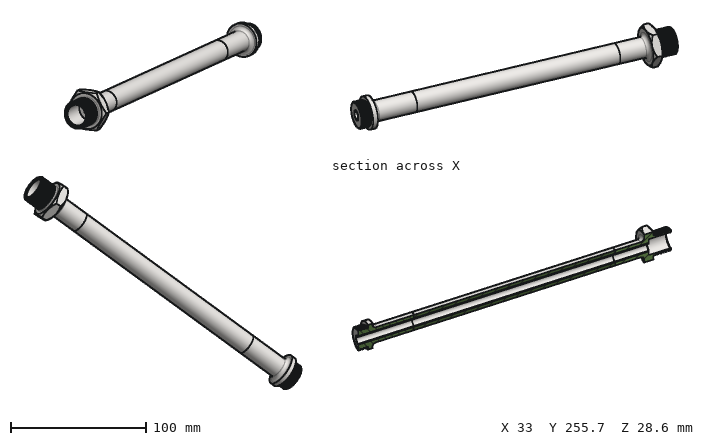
import cadquery as cq
import math

total_length = 255.7
tube_radius = 8.0
liner_radius = 4.0
bore_radius = 3.2

crest_radius = 10.48
root_radius = 9.5
pitch = 2.31
groove_root_width = 0.3
groove_mouth_width = 1.5
first_groove = 2.7
thread_lead_in = 0.8
neck_fillet = 3.0

hex_corner_diameter = 33.0
hex_face_radius = 13.6
hex_face_angle = math.radians(30)
hex_back_chamfer = 2.25
hex_thread_length = 14.25
hex_width = 7.7
hex_groove_count = 5
hex_tail_length = 23.85
hex_base_fillet = 0.6
socket_radius = 7.8
socket_depth = 18.0
socket_chamfer = 0.8

flange_radius = 12.75
flange_width = 3.9
flange_thread_length = 8.1
flange_groove_count = 2
relief_radius = 9.7
relief_width = 1.4
flange_tail_length = 33.9

hex_front = hex_thread_length
hex_back = hex_front + hex_width
hex_tail_end = hex_back + hex_tail_length
flange_back = total_length - flange_thread_length
flange_front = flange_back - flange_width
flange_tail_end = flange_front - flange_tail_length


def revolve_about_y(profile):
    return profile.close().revolve(360, (0, 0, 0), (0, 1, 0))


def disc(y_start, y_end, radius):
    return revolve_about_y(
        cq.Workplane("XY").moveTo(0, y_start).lineTo(radius, y_start).lineTo(radius, y_end).lineTo(0, y_end)
    )


def threaded_stud(end_y, inward, length, groove_count):
    """Ring-grooved stud from its free end at end_y; inward is +1 or -1 along Y."""
    base_y = end_y + inward * length
    stud = revolve_about_y(
        cq.Workplane("XY")
        .moveTo(0, end_y)
        .lineTo(crest_radius - thread_lead_in, end_y)
        .lineTo(crest_radius, end_y + inward * thread_lead_in)
        .lineTo(crest_radius, base_y)
        .lineTo(0, base_y)
    )
    for index in range(groove_count):
        middle = end_y + inward * (first_groove + index * pitch)
        groove = revolve_about_y(
            cq.Workplane("XY")
            .moveTo(root_radius, middle - groove_root_width / 2)
            .lineTo(crest_radius, middle - groove_mouth_width / 2)
            .lineTo(crest_radius, middle + groove_mouth_width / 2)
            .lineTo(root_radius, middle + groove_root_width / 2)
        )
        stud = stud.cut(groove)
    return stud


def flared_tail(shoulder_y, away, length):
    """Tail leaving a shoulder, with a concave flare where it starts; away is +1 or -1 along Y."""
    flare_middle = neck_fillet * (1 - math.sqrt(0.5))
    end_y = shoulder_y + away * length
    return revolve_about_y(
        cq.Workplane("XY")
        .moveTo(0, shoulder_y)
        .lineTo(tube_radius + neck_fillet, shoulder_y)
        .threePointArc(
            (tube_radius + flare_middle, shoulder_y + away * flare_middle),
            (tube_radius, shoulder_y + away * neck_fillet),
        )
        .lineTo(tube_radius, end_y)
        .lineTo(0, end_y)
    )


def chamfered_hexagon():
    flat_radius = hex_corner_diameter / 2 * math.cos(math.pi / 6)
    corner_radius = flat_radius + hex_back_chamfer
    face_chamfer = (corner_radius - hex_face_radius) * math.tan(hex_face_angle)
    prism = (
        cq.Workplane("XZ", origin=(0, hex_front, 0))
        .polygon(6, hex_corner_diameter)
        .extrude(-hex_width)
    )
    envelope = revolve_about_y(
        cq.Workplane("XY")
        .moveTo(0, hex_front)
        .lineTo(hex_face_radius, hex_front)
        .lineTo(corner_radius, hex_front + face_chamfer)
        .lineTo(corner_radius, hex_back - hex_back_chamfer)
        .lineTo(flat_radius, hex_back)
        .lineTo(0, hex_back)
    )
    return prism.intersect(envelope)


def hex_base_flare():
    """Small concave fillet between the hexagon's face and the thread."""
    middle = hex_base_fillet * (1 - math.sqrt(0.5))
    return revolve_about_y(
        cq.Workplane("XY")
        .moveTo(0, hex_front)
        .lineTo(crest_radius + hex_base_fillet, hex_front)
        .threePointArc(
            (crest_radius + middle, hex_front - middle),
            (crest_radius, hex_front - hex_base_fillet),
        )
        .lineTo(0, hex_front - hex_base_fillet)
    )


def make_hex_fitting():
    stud = threaded_stud(0, 1, hex_thread_length, hex_groove_count)
    fitting = chamfered_hexagon().union(stud).union(hex_base_flare())
    fitting = fitting.union(flared_tail(hex_back, 1, hex_tail_length))
    socket = revolve_about_y(
        cq.Workplane("XY")
        .lineTo(socket_radius + socket_chamfer, 0)
        .lineTo(socket_radius, socket_chamfer)
        .lineTo(socket_radius, socket_depth)
        .lineTo(0, socket_depth)
    )
    return fitting.cut(socket).cut(disc(socket_depth, hex_tail_end, liner_radius))


def make_flange_fitting():
    stud = threaded_stud(total_length, -1, flange_thread_length, flange_groove_count)
    relief = disc(flange_back, flange_back + relief_width, crest_radius).cut(
        disc(flange_back, flange_back + relief_width, relief_radius)
    )
    fitting = stud.cut(relief).union(disc(flange_front, flange_back, flange_radius))
    fitting = fitting.union(flared_tail(flange_front, -1, flange_tail_length))
    return fitting.cut(disc(flange_tail_end, total_length, liner_radius))


def make_middle_tube():
    return disc(hex_tail_end, flange_tail_end, tube_radius).cut(
        disc(hex_tail_end, flange_tail_end, liner_radius)
    )


def make_liner():
    return disc(socket_depth, total_length, liner_radius).cut(
        disc(socket_depth, total_length, bore_radius)
    )


hex_fitting = make_hex_fitting()
flange_fitting = make_flange_fitting()
middle_tube = make_middle_tube()
liner = make_liner()

result = cq.Compound.makeCompound([hex_fitting.val(), flange_fitting.val(), middle_tube.val(), liner.val()])